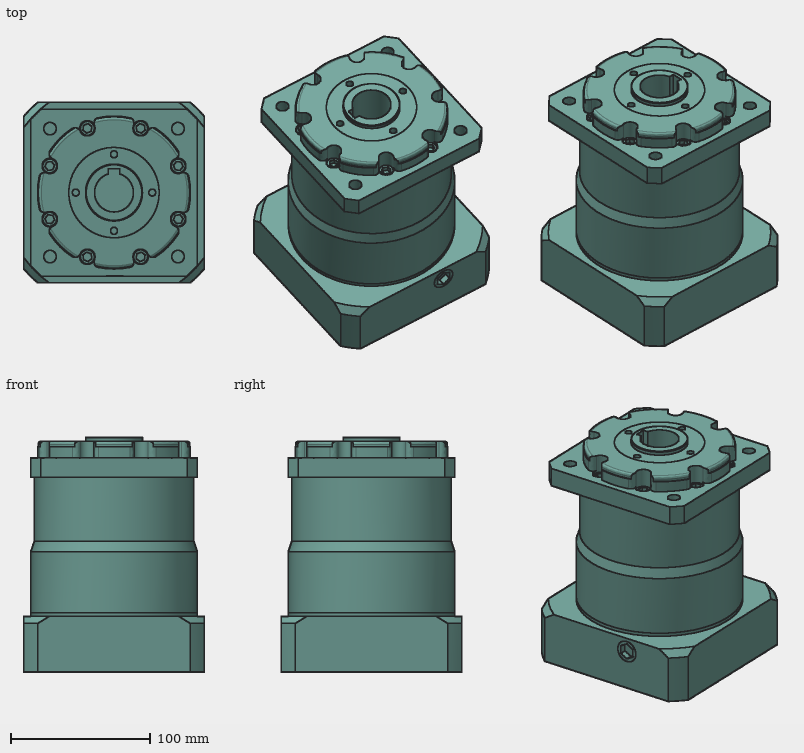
import cadquery as cq
import math

flange_size = 130.0
flange_height = 40.0
flange_corner_radius = 85.0
flange_chamfer = 5.0
flange_land_height = 2.5

body_large_radius = 60.0
body_small_radius = 57.5
cone_bottom_z = 86.5
cone_top_z = 94.0
plate_size = 120.0
plate_corner_cut = 7.5
plate_bottom_z = 140.0
plate_top_z = 154.0
mount_hole_diameter = 9.0
mount_hole_spacing = 92.0

pilot_radius = 55.0
pilot_top_z = 166.0
pilot_step = 0.5
pilot_step_z = 162.0
pilot_edge_radius = 2.0
lobe_corner_radius = 4.0

screw_count = 8
screw_circle_radius = 50.0
screw_pocket_diameter = 11.0
screw_head_diameter = 10.0
screw_pocket_depth = 6.0
screw_head_sink = 1.4
screw_hex_flats = 6.0
screw_hex_depth = 3.5

shaft_radius = 32.5
shaft_bottom_z = 112.5
hub_radius = 20.5
hub_top_z = 169.0
hub_chamfer = 0.5
bore_diameter = 28.0
key_width = 8.0
key_depth = 3.3
shaft_hole_diameter = 5.0
shaft_hole_depth = 12.0
shaft_hole_circle_radius = 27.5
shaft_hole_count = 4

plug_diameter = 16.0
plug_length = 10.0
plug_y = -18.0
plug_z = 29.5
plug_hex_flats = 10.5
plug_hex_depth = 5.0

flange_top_z = flange_height + flange_land_height
screw_pitch = 360.0 / screw_count


def hex_prism(flats, height):
    """Hexagonal prism with two corners on the local X axis, standing on Z = 0."""
    return cq.Workplane("XY").polygon(6, flats / math.cos(math.pi / 6)).extrude(height)


def disc(radius, bottom_z, top_z):
    return cq.Workplane("XY").workplane(offset=bottom_z).circle(radius).extrude(top_z - bottom_z)


def plug_blank():
    """Cylinder filling the plug's hole, flush with the -X face."""
    return (
        cq.Workplane("YZ", origin=(-flange_size / 2, plug_y, plug_z))
        .circle(plug_diameter / 2)
        .extrude(plug_length)
    )


def make_plug():
    hex_socket = (
        hex_prism(plug_hex_flats, plug_hex_depth)
        .rotate((0, 0, 0), (0, 1, 0), 90)
        .translate((-flange_size / 2, plug_y, plug_z))
    )
    return plug_blank().cut(hex_socket)


def make_flange():
    square = cq.Workplane("XY").rect(flange_size, flange_size).extrude(flange_height)
    turned = disc(flange_corner_radius, 0, flange_height).faces(">Z").chamfer(flange_chamfer)
    land = disc(body_large_radius, flange_height, flange_top_z)
    return square.intersect(turned).union(land).cut(plug_blank())


def make_body():
    """Round body: large cylinder, cone and small cylinder."""
    return (
        cq.Workplane("XZ")
        .moveTo(0, flange_top_z)
        .lineTo(body_large_radius, flange_top_z)
        .lineTo(body_large_radius, cone_bottom_z)
        .lineTo(body_small_radius, cone_top_z)
        .lineTo(body_small_radius, plate_bottom_z)
        .lineTo(0, plate_bottom_z)
        .close()
        .revolve()
    )


def make_plate():
    return (
        cq.Workplane("XY")
        .workplane(offset=plate_bottom_z)
        .rect(plate_size, plate_size)
        .extrude(plate_top_z - plate_bottom_z)
        .edges("|Z")
        .chamfer(plate_corner_cut)
        .faces(">Z")
        .workplane()
        .rect(mount_hole_spacing, mount_hole_spacing, forConstruction=True)
        .vertices()
        .hole(mount_hole_diameter)
    )


def screw_places():
    return cq.Workplane("XY").polarArray(screw_circle_radius, screw_pitch / 2, 360, screw_count)


def make_pilot():
    """Disc scalloped round each screw, with rounded lobe corners and a turned-down, rounded rim."""
    scallops = (
        screw_places()
        .circle(screw_pocket_diameter / 2)
        .extrude(pilot_top_z - plate_top_z)
        .translate((0, 0, plate_top_z))
    )
    lobes = disc(pilot_radius, plate_top_z, pilot_top_z).cut(scallops)
    rim = (
        disc(pilot_radius, plate_top_z, pilot_step_z)
        .union(disc(pilot_radius - pilot_step, pilot_step_z, pilot_top_z))
        .faces(">Z")
        .edges()
        .fillet(pilot_edge_radius)
    )
    return lobes.edges("|Z").fillet(lobe_corner_radius).intersect(rim)


def cut_screw_heads(housing):
    """Sink round pockets that leave a screw head, with its hexagon socket, inside each."""
    pockets = screw_places().circle(screw_pocket_diameter / 2).extrude(-screw_pocket_depth)
    heads = (
        screw_places()
        .circle(screw_head_diameter / 2)
        .extrude(screw_head_sink - screw_pocket_depth)
        .translate((0, 0, -screw_head_sink))
    )
    housing = housing.cut(pockets.cut(heads).translate((0, 0, plate_top_z)))
    socket_floor_z = plate_top_z - screw_head_sink - screw_hex_depth
    socket = hex_prism(screw_hex_flats, screw_hex_depth).translate((0, screw_circle_radius, socket_floor_z))
    for i in range(screw_count):
        housing = housing.cut(socket.rotate((0, 0, 0), (0, 0, 1), (i + 0.5) * screw_pitch))
    return housing


def make_housing():
    housing = make_body().union(make_plate()).union(make_pilot())
    shaft_room = disc(shaft_radius, shaft_bottom_z, pilot_top_z)
    return cut_screw_heads(housing).cut(shaft_room)


def make_shaft():
    journal = disc(shaft_radius, shaft_bottom_z, pilot_top_z)
    hub = disc(hub_radius, pilot_top_z, hub_top_z).faces(">Z").chamfer(hub_chamfer)
    bore = disc(bore_diameter / 2, shaft_bottom_z, hub_top_z)
    key_top = bore_diameter / 2 + key_depth
    keyway = (
        cq.Workplane("XY")
        .workplane(offset=shaft_bottom_z)
        .center(0, key_top / 2)
        .rect(key_width, key_top)
        .extrude(hub_top_z - shaft_bottom_z)
    )
    end_holes = (
        cq.Workplane("XY")
        .workplane(offset=pilot_top_z)
        .polarArray(shaft_hole_circle_radius, 0, 360, shaft_hole_count)
        .circle(shaft_hole_diameter / 2)
        .extrude(-shaft_hole_depth)
    )
    return journal.union(hub).cut(bore).cut(keyway).cut(end_holes)


flange = make_flange().solids()
housing = make_housing().solids()
shaft = make_shaft().solids()
plug = make_plug().solids()

result = cq.Compound.makeCompound([flange.val(), housing.val(), shaft.val(), plug.val()])